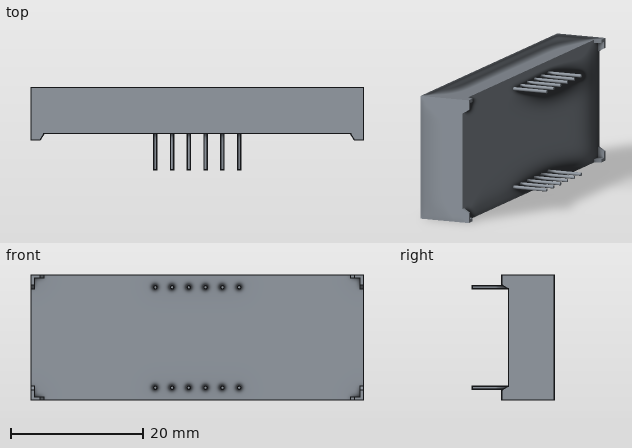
import cadquery as cq

width = 50.4
height = 19.0
total_depth = 12.5
housing_depth = 7.0

foot_height = 1.0
foot_wall = 0.5
foot_base_length_x = 2.0
foot_base_length_z = 2.1
foot_tip_length_x = 1.4
foot_tip_length_z = 1.5

pin_diameter = 0.5
pin_pitch = 2.54
pin_row_spacing = 15.2
pins_per_row = 6
pin_length = total_depth - housing_depth

mounting_y = -housing_depth
foot_tip_y = mounting_y - foot_height
half_width = width / 2
half_height = height / 2


def foot_leg_outline(plane, edge, base_length, tip_length):
    """Leg profile that starts at the housing edge and narrows towards the foot tip."""
    return plane.polyline([
        (edge, mounting_y),
        (edge, foot_tip_y),
        (edge + tip_length, foot_tip_y),
        (edge + base_length, mounting_y),
    ]).close()


def corner_foot():
    """Foot in the -X, -Z corner: one leg along X and one along Z."""
    floor_plane = cq.Plane(origin=(0, 0, -half_height), xDir=(1, 0, 0), normal=(0, 0, 1))
    leg_x = foot_leg_outline(
        cq.Workplane(floor_plane), -half_width, foot_base_length_x, foot_tip_length_x
    ).extrude(foot_wall)
    side_plane = cq.Plane(origin=(-half_width, 0, 0), xDir=(0, 0, 1), normal=(-1, 0, 0))
    leg_z = foot_leg_outline(
        cq.Workplane(side_plane), -half_height, foot_base_length_z, foot_tip_length_z
    ).extrude(-foot_wall)
    return leg_x.union(leg_z)


def all_feet():
    """The corner foot mirrored into all four corners."""
    left_bottom = corner_foot()
    left = left_bottom.union(left_bottom.mirror("XY"))
    return left.union(left.mirror("YZ"))


def pins():
    """Pins standing out of the mounting face along -Y."""
    mounting_plane = cq.Plane(origin=(0, mounting_y, 0), xDir=(1, 0, 0), normal=(0, -1, 0))
    return (
        cq.Workplane(mounting_plane)
        .rarray(pin_pitch, pin_row_spacing, pins_per_row, 2)
        .circle(pin_diameter / 2)
        .extrude(pin_length)
    )


housing = cq.Workplane("XY").box(width, housing_depth, height).translate((0, mounting_y / 2, 0))
result = housing.union(all_feet()).union(pins())